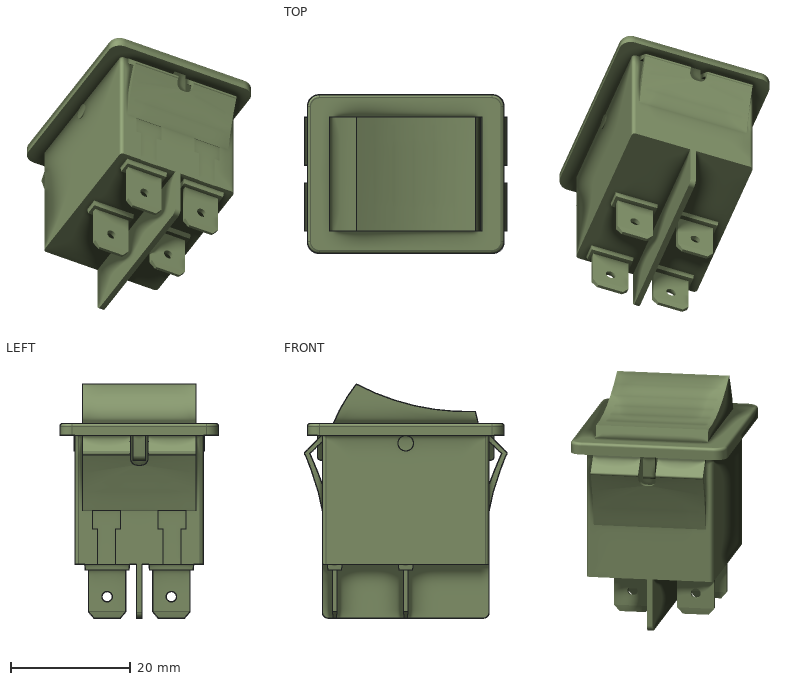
import cadquery as cq


TOTAL_HEIGHT = 39.25
ROCKER_TOP = 8.6
TERMINAL_BOTTOM = ROCKER_TOP - TOTAL_HEIGHT

BEZEL_LENGTH = 32.98
BEZEL_WIDTH = 26.6
BEZEL_HEIGHT = 2.0
BEZEL_CORNER_RADIUS = 2.0
BEZEL_EDGE_RADIUS = 0.5

ROCKER_WIDTH = 19.08
OPENING_LENGTH = 25.5
OPENING_FLOOR = 0.4
ROCKER_APEX_X = -8.3
ROCKER_LOW_END = (11.65, 4.0)
ROCKER_FOOT_X = 12.55
ROCKER_BACK_MID = (-10.8, 4.8)
ROCKER_TOP_MID = (1.57, 4.95)

BODY_LENGTH = 27.95
BODY_WIDTH = 21.55
BODY_HEIGHT = 21.65
BODY_EDGE_RADIUS = 0.6
BODY_END_X = BODY_LENGTH / 2

PAD_DIAMETER = 2.6
PAD_HEIGHT = 0.15
PAD_Z = -1.35

CLIP_WIDTH = ROCKER_WIDTH
CLIP_REACH = 34.0 / 2
CLIP_ELBOW_Z = -3.05
CLIP_ELBOW_HALF_HEIGHT = 0.27
CLIP_ELBOW_SAGITTA = 0.175
CLIP_INNER_ELBOW_X = -16.05
CLIP_OUTER_MID = (-15.45, -6.85)
CLIP_INNER_MID = (-14.9, -5.75)
CLIP_TOP_GAP = 0.1
CLIP_OUTER_FOOT_Z = -12.65
CLIP_INNER_FOOT_Z = -8.15
CLIP_INNER_TOP_Z = -1.05
CLIP_EMBED = 0.4
NOTCH_WIDTH = 2.95
NOTCH_DEPTH = 5.03
NOTCH_CORNER_RADIUS = 1.18

RIB_WIDTH = 2.1
RIB_REACH = 0.82
RIB_DEPTH = 4.2
RIB_FOOT_RADIUS = 0.6

RECESS_DEPTH = 0.08
RECESS_STEP_Z = -15.65
RECESS_CENTER_Y = 5.5
RECESS_WIDE = 4.75
RECESS_NARROW = 3.0

TERMINAL_ROWS_X = (-11.9, 0.0)
TERMINAL_Y = 5.38
TERMINAL_THICKNESS = 0.8
TERMINAL_TIP_THICKNESS = 0.5
TERMINAL_WIDTH = 6.3
TERMINAL_TIP_WIDTH = 4.4
TERMINAL_TIP_HEIGHT = 1.1
TERMINAL_HOLE_DIAMETER = 1.7
TERMINAL_HOLE_Z = -27.05
COLLAR_LENGTH = 2.47
COLLAR_WIDTH = 7.55
COLLAR_HEIGHT = 0.95
COLLAR_DRAFT_ANGLE = 6.0

FIN_THICKNESS = 1.0
FIN_CORNER_RADIUS = 1.0


def hanging_block(length, width, top, bottom):
    """Box centred on the Z axis between two heights."""
    height = top - bottom
    block = cq.Workplane("XY").box(length, width, height, centered=(True, True, False))
    return block.translate((0, 0, bottom))


def both_ends(shape):
    """The shape together with its mirror image across the YZ plane."""
    return shape.union(shape.mirror("YZ"))


def make_bezel():
    plate = hanging_block(BEZEL_LENGTH, BEZEL_WIDTH, BEZEL_HEIGHT, 0)
    plate = plate.edges("|Z").fillet(BEZEL_CORNER_RADIUS)
    plate = plate.faces(">Z").edges().fillet(BEZEL_EDGE_RADIUS)
    return plate.cut(hanging_block(OPENING_LENGTH, ROCKER_WIDTH, BEZEL_HEIGHT, OPENING_FLOOR))


def make_rocker():
    """Convex back, concave top and a steep low end, resting on the opening floor."""
    return (
        cq.Workplane("XZ")
        .moveTo(-OPENING_LENGTH / 2, 0)
        .lineTo(-OPENING_LENGTH / 2, OPENING_FLOOR)
        .threePointArc(ROCKER_BACK_MID, (ROCKER_APEX_X, ROCKER_TOP))
        .threePointArc(ROCKER_TOP_MID, ROCKER_LOW_END)
        .lineTo(ROCKER_FOOT_X, OPENING_FLOOR)
        .lineTo(ROCKER_FOOT_X, 0)
        .close()
        .extrude(ROCKER_WIDTH / 2, both=True)
    )


def make_body():
    body = hanging_block(BODY_LENGTH, BODY_WIDTH, 0, -BODY_HEIGHT)
    body = body.edges("|Z").fillet(BODY_EDGE_RADIUS)
    pads = (
        cq.Workplane("XZ")
        .center(0, PAD_Z)
        .circle(PAD_DIAMETER / 2)
        .extrude(BODY_WIDTH / 2 + PAD_HEIGHT, both=True)
    )
    return body.union(pads)


def make_recesses():
    """Two T-shaped recesses running from the clip foot down to the body bottom."""
    wide = hanging_block(2 * RECESS_DEPTH, RECESS_WIDE, CLIP_OUTER_FOOT_Z, RECESS_STEP_Z)
    narrow = hanging_block(2 * RECESS_DEPTH, RECESS_NARROW, RECESS_STEP_Z, -BODY_HEIGHT)
    recess = wide.union(narrow).translate((-BODY_END_X, RECESS_CENTER_Y, 0))
    return recess.union(recess.mirror("XZ"))


def make_clip():
    """Bent strip on the -X end, with a rounded notch in the middle of its top edge."""
    elbow_x = -CLIP_REACH + CLIP_ELBOW_SAGITTA
    root_x = -BODY_END_X + CLIP_EMBED
    strip = (
        cq.Workplane("XZ")
        .moveTo(root_x, 0)
        .lineTo(-BODY_END_X - CLIP_TOP_GAP, 0)
        .lineTo(elbow_x, CLIP_ELBOW_Z + CLIP_ELBOW_HALF_HEIGHT)
        .threePointArc((-CLIP_REACH, CLIP_ELBOW_Z), (elbow_x, CLIP_ELBOW_Z - CLIP_ELBOW_HALF_HEIGHT))
        .threePointArc(CLIP_OUTER_MID, (-BODY_END_X, CLIP_OUTER_FOOT_Z))
        .lineTo(root_x, CLIP_OUTER_FOOT_Z)
        .lineTo(root_x, CLIP_INNER_FOOT_Z)
        .lineTo(-BODY_END_X, CLIP_INNER_FOOT_Z)
        .threePointArc(CLIP_INNER_MID, (CLIP_INNER_ELBOW_X, CLIP_ELBOW_Z))
        .lineTo(-BODY_END_X, CLIP_INNER_TOP_Z)
        .lineTo(root_x, CLIP_INNER_TOP_Z)
        .close()
        .extrude(CLIP_WIDTH / 2, both=True)
    )
    notch = hanging_block(2 * BODY_LENGTH, NOTCH_WIDTH, 0, -NOTCH_DEPTH)
    notch = notch.faces("<Z").edges("|X").fillet(NOTCH_CORNER_RADIUS)
    return strip.cut(notch)


def make_ribs():
    ribs = hanging_block(BODY_LENGTH + 2 * RIB_REACH, RIB_WIDTH, 0, -RIB_DEPTH)
    return ribs.faces("<Z").edges("|Y").fillet(RIB_FOOT_RADIUS)


def blade_outline(plane, size, tip_size, depth):
    """Blade seen along one axis: straight sides and a tapered tip, extruded along that axis."""
    shoulder = TERMINAL_BOTTOM + TERMINAL_TIP_HEIGHT
    return (
        cq.Workplane(plane)
        .moveTo(-size / 2, -BODY_HEIGHT)
        .lineTo(-size / 2, shoulder)
        .lineTo(-tip_size / 2, TERMINAL_BOTTOM)
        .lineTo(tip_size / 2, TERMINAL_BOTTOM)
        .lineTo(size / 2, shoulder)
        .lineTo(size / 2, -BODY_HEIGHT)
        .close()
        .extrude(depth / 2, both=True)
    )


def make_terminal():
    """Blade tapered in both directions, with a cross hole."""
    wide_view = blade_outline("YZ", TERMINAL_WIDTH, TERMINAL_TIP_WIDTH, TERMINAL_THICKNESS)
    edge_view = blade_outline("XZ", TERMINAL_THICKNESS, TERMINAL_TIP_THICKNESS, TERMINAL_WIDTH)
    hole = (
        cq.Workplane("YZ")
        .center(0, TERMINAL_HOLE_Z)
        .circle(TERMINAL_HOLE_DIAMETER / 2)
        .extrude(TERMINAL_THICKNESS, both=True)
    )
    return wide_view.intersect(edge_view).cut(hole)


def make_collar():
    """Block under the body that narrows slightly on its way down."""
    return (
        cq.Workplane("XY")
        .workplane(offset=-BODY_HEIGHT)
        .rect(COLLAR_LENGTH, COLLAR_WIDTH)
        .extrude(-COLLAR_HEIGHT, taper=COLLAR_DRAFT_ANGLE)
    )


def make_terminals():
    """Two rows of two terminals, each rising into a collar."""
    terminal = make_terminal().union(make_collar())
    terminals = cq.Workplane("XY")
    for row_x in TERMINAL_ROWS_X:
        for side_y in (-TERMINAL_Y, TERMINAL_Y):
            terminals = terminals.add(terminal.translate((row_x, side_y, 0)))
    return terminals.combine()


def make_fin():
    fin = hanging_block(BODY_LENGTH, FIN_THICKNESS, -BODY_HEIGHT, TERMINAL_BOTTOM)
    return fin.faces("<Z").edges("|Y").fillet(FIN_CORNER_RADIUS)


result = (
    make_body()
    .cut(make_recesses())
    .union(make_bezel())
    .union(make_rocker())
    .union(both_ends(make_clip()))
    .union(make_ribs())
    .union(make_fin())
    .union(make_terminals())
)